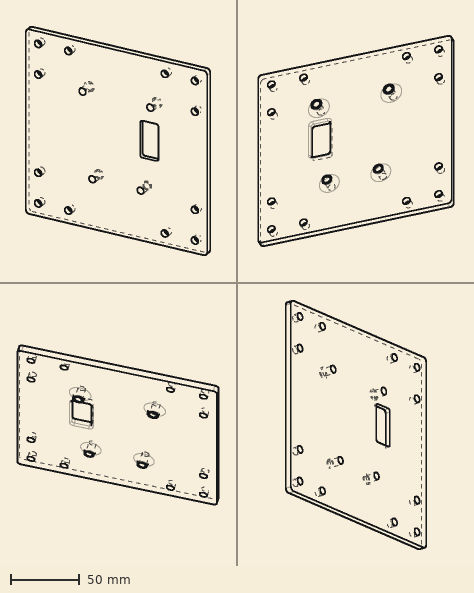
import cadquery as cq
import math

plate_side = 150.0
total_depth = 10.0
plate_thickness = total_depth / 2
plate_corner_radius = 3.0

corner_hole_diameter = 5.5
outer_hole_offset = 64.8
inner_hole_offset = 39.9

window_width = 15.0
window_height = 30.0
window_corner_radius = 2.0
window_back_fillet = 1.5
window_x = 27.2
window_z = 7.5

boss_flare_radius = 4.0
boss_row_z = 34.6
upper_boss_x = 28.0
upper_boss_diameter = 8.1
upper_hole_diameter = 5.5
lower_boss_x = 20.0
lower_boss_diameter = 7.4
lower_hole_diameter = 5.4


def make_plate():
    return (
        cq.Workplane("XZ")
        .rect(plate_side, plate_side)
        .extrude(-plate_thickness)
        .edges("|Y")
        .fillet(plate_corner_radius)
    )


def make_boss(x, z, diameter):
    """Revolve a cylinder whose foot flares out tangentially onto the plate."""
    radius = diameter / 2
    foot_radius = radius + boss_flare_radius
    flare_top = plate_thickness + boss_flare_radius
    arc_inset = boss_flare_radius * (1 - math.sin(math.pi / 4))
    return (
        cq.Workplane("XY")
        .lineTo(foot_radius, 0)
        .lineTo(foot_radius, plate_thickness)
        .threePointArc((radius + arc_inset, plate_thickness + arc_inset), (radius, flare_top))
        .lineTo(radius, total_depth)
        .lineTo(0, total_depth)
        .close()
        .revolve(360, (0, 0), (0, 1))
        .translate((x, 0, z))
    )


def make_holes(points, diameter):
    return cq.Workplane("XZ").pushPoints(points).circle(diameter / 2).extrude(-total_depth)


def make_window():
    return (
        cq.Workplane("XZ")
        .center(window_x, window_z)
        .rect(window_width, window_height)
        .extrude(-plate_thickness)
        .edges("|Y")
        .fillet(window_corner_radius)
    )


def round_window_back_edge(plate):
    back_rim = plate.faces(">Y").wires(cq.selectors.LengthNthSelector(0)).vals()[0]
    return plate.newObject(back_rim.Edges()).fillet(window_back_fillet)


corner_holes = [
    (side_x * x, side_z * z)
    for side_x in (-1, 1)
    for side_z in (-1, 1)
    for x, z in (
        (outer_hole_offset, outer_hole_offset),
        (inner_hole_offset, outer_hole_offset),
        (outer_hole_offset, inner_hole_offset),
    )
]
upper_bosses = [(-upper_boss_x, boss_row_z), (upper_boss_x, boss_row_z)]
lower_bosses = [(-lower_boss_x, -boss_row_z), (lower_boss_x, -boss_row_z)]

result = make_plate().cut(make_window())
result = round_window_back_edge(result)
result = result.cut(make_holes(corner_holes, corner_hole_diameter))

for points, boss_diameter, hole_diameter in (
    (upper_bosses, upper_boss_diameter, upper_hole_diameter),
    (lower_bosses, lower_boss_diameter, lower_hole_diameter),
):
    for boss_x, boss_z in points:
        result = result.union(make_boss(boss_x, boss_z, boss_diameter))
    result = result.cut(make_holes(points, hole_diameter))